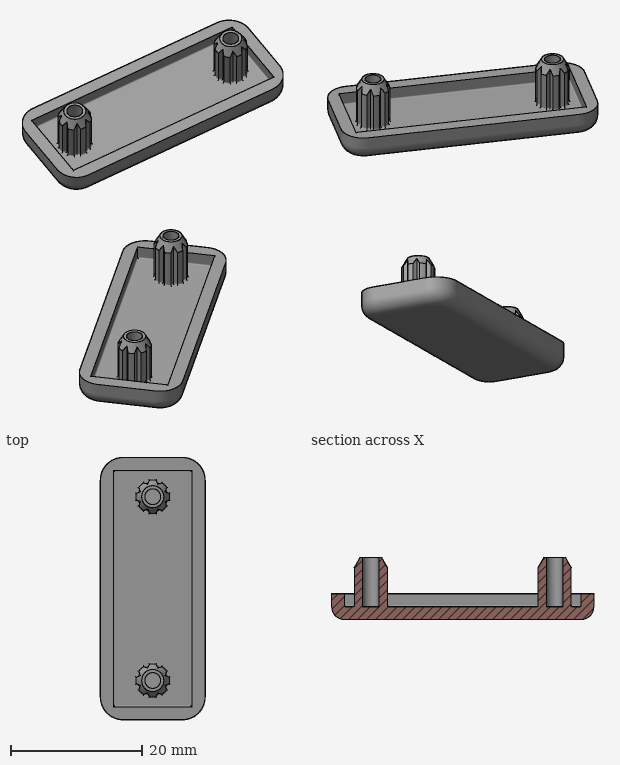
import cadquery as cq
import math

width = 16.0
length = 40.0
base_height = 4.0
corner_radius = 3.5
underside_fillet = 2.0

rim = 2.0
pocket_depth = 2.0
floor_height = base_height - pocket_depth
root_fillet = 0.2

total_height = 9.5
post_spacing = 28.0
post_radius = 2.55
post_height = total_height - floor_height
tip_height = 1.5
tip_angle = 30.0
tip_inset = tip_height * math.tan(math.radians(tip_angle))
bore_radius = 1.2
bore_depth = post_height

flute_count = 8
flute_pitch = 360 / flute_count
flute_root_radius = 2.05
flute_angle = 96.0
flute_reach = 1.0
flute_half_width = flute_reach * math.tan(math.radians(flute_angle / 2))


def make_base():
    """Rounded bar with a filleted underside and a rectangular pocket in its top."""
    bar = cq.Workplane("XY").rect(width, length).extrude(base_height)
    bar = bar.edges("|Z").fillet(corner_radius)
    bar = bar.faces("<Z").edges().fillet(underside_fillet)
    pocket = (
        cq.Workplane("XY", origin=(0, 0, floor_height))
        .rect(width - 2 * rim, length - 2 * rim)
        .extrude(pocket_depth)
    )
    return bar.cut(pocket)


def make_post():
    """Solid fluted post with a conical tip, its foot centred on the origin."""
    post = (
        cq.Workplane("XZ")
        .lineTo(post_radius, 0)
        .lineTo(post_radius, post_height - tip_height)
        .lineTo(post_radius - tip_inset, post_height)
        .lineTo(0, post_height)
        .close()
        .revolve(360, (0, 0), (0, 1))
    )
    flute = (
        cq.Workplane("XY")
        .moveTo(flute_root_radius, 0)
        .lineTo(flute_root_radius + flute_reach, flute_half_width)
        .lineTo(flute_root_radius + flute_reach, -flute_half_width)
        .close()
        .extrude(post_height)
    )
    for index in range(flute_count):
        angle = (index + 0.5) * flute_pitch
        post = post.cut(flute.rotate((0, 0, 0), (0, 0, 1), angle))
    return post


def round_floor_edges(body):
    """Fillet the pocket floor against the walls and around the post feet."""
    floor = body.faces(cq.selectors.NearestToPointSelector((0, 0, floor_height)))
    return floor.edges().fillet(root_fillet)


def bore_posts(body):
    """Blind hole down the axis of each post."""
    return (
        body.copyWorkplane(cq.Workplane("XY", origin=(0, 0, total_height)))
        .rarray(1, post_spacing, 1, 2)
        .circle(bore_radius)
        .cutBlind(-bore_depth)
    )


result = make_base()
post = make_post()
for y in (-post_spacing / 2, post_spacing / 2):
    result = result.union(post.translate((0, y, floor_height)))
result = round_floor_edges(result)
result = bore_posts(result)